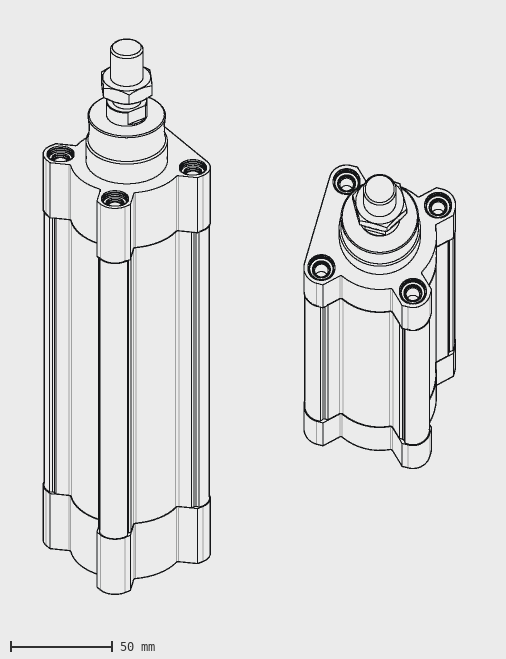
import cadquery as cq
import math

SPIGOT_HEIGHT = 4.0
CAP_HEIGHT = 33.0
TUBE_LENGTH = 165.0
COLLAR_HEIGHT = 12.7
NECK_TOP_Z = 262.5
TOTAL_HEIGHT = 302.8
REAR_CAP_TOP_Z = SPIGOT_HEIGHT + CAP_HEIGHT
FRONT_CAP_BASE_Z = REAR_CAP_TOP_Z + TUBE_LENGTH
FRONT_CAP_TOP_Z = FRONT_CAP_BASE_Z + CAP_HEIGHT
COLLAR_TOP_Z = FRONT_CAP_TOP_Z + COLLAR_HEIGHT

CAP_WIDTH = 64.0
BOSS_CENTRE = 23.3
CAP_CORE_RADIUS = 28.0
CAP_FLANK_OFFSET = 11.8
CAP_JUNCTION_FILLET = 1.0
CAP_CORNER_RADIUS = CAP_WIDTH / 2 - BOSS_CENTRE

TUBE_CORE_RADIUS = 27.5
TUBE_FLANK_OFFSET = 11.5
TUBE_JUNCTION_FILLET = 1.5
TUBE_WIDTH = 63.0
TUBE_RIB_RADIUS = TUBE_WIDTH / 2 - BOSS_CENTRE
RIB_EDGE = 21.5
STEP_FOOT = (30.0, 20.5)
STEP_FLAT_OUT = 29.7
STEP_FLAT_EDGE = 19.7

COLLAR_DIAMETER = 40.0
COLLAR_CHAMFER = 1.0
SPIGOT_CHAMFER = 0.5
NECK_END_RADIUS = 19.0
NECK_WAIST_RADIUS = 18.5
NECK_CHAMFER = 0.5

SCREW_HOLE_STEPS = [(13.3, 1.0), (12.0, 1.8), (11.5, 2.7), (8.8, 3.5), (8.0, 4.5), (6.7, 15.0)]
DRILL_POINT_HEIGHT = 1.8

ROD_DIAMETER = 20.0
ROD_SHOULDER_Z = 270.7
ROD_SHOULDER_CHAMFER = 0.3
FLATS_WIDTH = 17.0
FLATS_BASE_Z = 263.5
UNDERCUT_DIAMETER = 14.0
UNDERCUT_TOP_Z = 273.5
THREAD_DIAMETER = 16.0
THREAD_BASE_Z = 276.0
THREAD_TIP_DIAMETER = 14.2
THREAD_TIP_HEIGHT = 1.2

NUT_WIDTH = 24.0
NUT_HEIGHT = 8.0
NUT_BASE_Z = 277.0
NUT_CHAMFER_DIAMETER = 23.5
NUT_CHAMFER_SLOPE = math.tan(math.radians(30))


def cylinder(diameter, base_z, top_z):
    return cq.Workplane("XY").workplane(offset=base_z).circle(diameter / 2).extrude(top_z - base_z)


def block(width, depth, base_z, height):
    return cq.Workplane("XY").workplane(offset=base_z).rect(width, depth).extrude(height)


def turned(point, quarter_turns):
    """The point after a number of quarter turns about the main axis."""
    x, y = point
    for _ in range(quarter_turns):
        x, y = -y, x
    return x, y


def cornered_prism(core_radius, flank_offset, junction_fillet, side_points, corner_radius, base_z, height):
    """Round prism with four equal corners, each symmetric about its diagonal.

    The side points lead from the end of the flank to the start of the round corner.
    """
    junction_y = (math.sqrt(2 * core_radius**2 - flank_offset**2) - flank_offset) / 2
    junction = (junction_y + flank_offset, junction_y)
    first_side = [junction, *side_points]
    second_side = [(y, x) for x, y in reversed(first_side)]
    corner_tip = BOSS_CENTRE + corner_radius / math.sqrt(2)

    outline = cq.Workplane("XY").workplane(offset=base_z).moveTo(*junction)
    for turn in range(4):
        for point in first_side[1:]:
            outline = outline.lineTo(*turned(point, turn))
        outline = outline.threePointArc(turned((corner_tip, corner_tip), turn), turned(second_side[0], turn))
        for point in second_side[1:]:
            outline = outline.lineTo(*turned(point, turn))
        outline = outline.threePointArc(turned((0, core_radius), turn), turned(junction, turn + 1))
    prism = outline.close().extrude(height)

    def is_junction(edge):
        centre = edge.Center()
        return math.isclose(math.hypot(centre.x, centre.y), core_radius, rel_tol=1e-4)

    return prism.edges("|Z").filter(is_junction).fillet(junction_fillet)


def make_cap(base_z):
    """Round core with four corner bosses, filled out to a flat on the +Y side."""
    half_width = CAP_WIDTH / 2
    flank_end = half_width - CAP_FLANK_OFFSET
    side_points = [(half_width, flank_end), (half_width, BOSS_CENTRE)]
    cap = cornered_prism(
        CAP_CORE_RADIUS,
        CAP_FLANK_OFFSET,
        CAP_JUNCTION_FILLET,
        side_points,
        CAP_CORNER_RADIUS,
        base_z,
        CAP_HEIGHT,
    )
    filled_side = block(2 * flank_end, half_width, base_z, CAP_HEIGHT)
    return cap.union(filled_side.translate((0, half_width / 2, 0)))


def make_tube():
    """Round tube with four corner ribs, each with a step and a flank on both sides."""
    rib_start = BOSS_CENTRE + math.sqrt(TUBE_RIB_RADIUS**2 - (BOSS_CENTRE - RIB_EDGE) ** 2)
    side_points = [
        (STEP_FLAT_OUT, STEP_FLAT_OUT - TUBE_FLANK_OFFSET),
        (STEP_FLAT_OUT, STEP_FLAT_EDGE),
        STEP_FOOT,
        (rib_start, RIB_EDGE),
    ]
    return cornered_prism(
        TUBE_CORE_RADIUS,
        TUBE_FLANK_OFFSET,
        TUBE_JUNCTION_FILLET,
        side_points,
        TUBE_RIB_RADIUS,
        REAR_CAP_TOP_Z,
        TUBE_LENGTH,
    )


def make_collar():
    """Chamfered collar with a slightly waisted neck on top."""
    collar = cylinder(COLLAR_DIAMETER, FRONT_CAP_TOP_Z, COLLAR_TOP_Z).faces(">Z").chamfer(COLLAR_CHAMFER)
    neck = (
        cq.Workplane("XZ")
        .moveTo(0, COLLAR_TOP_Z)
        .lineTo(NECK_END_RADIUS, COLLAR_TOP_Z)
        .threePointArc(
            (NECK_WAIST_RADIUS, (COLLAR_TOP_Z + NECK_TOP_Z - NECK_CHAMFER) / 2),
            (NECK_END_RADIUS, NECK_TOP_Z - NECK_CHAMFER),
        )
        .lineTo(NECK_END_RADIUS - NECK_CHAMFER, NECK_TOP_Z)
        .lineTo(0, NECK_TOP_Z)
        .close()
        .revolve(360, (0, 0, 0), (0, 1, 0))
    )
    return collar.union(neck)


def make_spigot():
    return cylinder(COLLAR_DIAMETER, 0, SPIGOT_HEIGHT).faces("<Z").chamfer(SPIGOT_CHAMFER)


def make_screw_hole():
    """Stepped hole with a drill point, as a solid to cut, with its mouth at the origin."""
    profile = cq.Workplane("XZ").moveTo(0, 0)
    floor_z = 0
    for diameter, depth in SCREW_HOLE_STEPS:
        profile = profile.lineTo(diameter / 2, floor_z).lineTo(diameter / 2, -depth)
        floor_z = -depth
    profile = profile.lineTo(0, floor_z - DRILL_POINT_HEIGHT)
    return profile.close().revolve(360, (0, 0, 0), (0, 1, 0))


def make_housing():
    """Tube with its end caps, collar and spigot, bored for the rod and the screws."""
    housing = make_tube()
    for part in (make_cap(SPIGOT_HEIGHT), make_cap(FRONT_CAP_BASE_Z), make_collar(), make_spigot()):
        housing = housing.union(part)
    housing = housing.cut(cylinder(ROD_DIAMETER, FRONT_CAP_BASE_Z, NECK_TOP_Z))
    screw_hole = make_screw_hole()
    for x in (-BOSS_CENTRE, BOSS_CENTRE):
        for y in (-BOSS_CENTRE, BOSS_CENTRE):
            housing = housing.cut(screw_hole.translate((x, y, FRONT_CAP_TOP_Z)))
    return housing


def make_rod():
    """Rod with wrench flats, an undercut and a chamfered threaded end."""
    rod_radius = ROD_DIAMETER / 2
    outline = [
        (0, FRONT_CAP_BASE_Z),
        (rod_radius, FRONT_CAP_BASE_Z),
        (rod_radius, ROD_SHOULDER_Z - ROD_SHOULDER_CHAMFER),
        (rod_radius - ROD_SHOULDER_CHAMFER, ROD_SHOULDER_Z),
        (UNDERCUT_DIAMETER / 2, ROD_SHOULDER_Z),
        (UNDERCUT_DIAMETER / 2, UNDERCUT_TOP_Z),
        (THREAD_DIAMETER / 2, THREAD_BASE_Z),
        (THREAD_DIAMETER / 2, TOTAL_HEIGHT - THREAD_TIP_HEIGHT),
        (THREAD_TIP_DIAMETER / 2, TOTAL_HEIGHT),
        (0, TOTAL_HEIGHT),
    ]
    rod = cq.Workplane("XZ").polyline(outline).close().revolve(360, (0, 0, 0), (0, 1, 0))
    flats_height = ROD_SHOULDER_Z - FLATS_BASE_Z
    around_flats = block(2 * ROD_DIAMETER, 2 * ROD_DIAMETER, FLATS_BASE_Z, flats_height)
    between_flats = block(FLATS_WIDTH, 2 * ROD_DIAMETER, FLATS_BASE_Z, flats_height)
    return rod.cut(around_flats.cut(between_flats))


def make_nut():
    """Hexagon nut with flats facing +X and -X and its corners chamfered at both ends."""
    corner_radius = NUT_WIDTH / math.sqrt(3)
    chamfer_radius = NUT_CHAMFER_DIAMETER / 2
    chamfer_height = (corner_radius - chamfer_radius) * NUT_CHAMFER_SLOPE
    outline = [
        (0, 0),
        (chamfer_radius, 0),
        (corner_radius, chamfer_height),
        (corner_radius, NUT_HEIGHT - chamfer_height),
        (chamfer_radius, NUT_HEIGHT),
        (0, NUT_HEIGHT),
    ]
    envelope = cq.Workplane("XZ").polyline(outline).close().revolve(360, (0, 0, 0), (0, 1, 0))
    hexagon = cq.Workplane("XY").polygon(6, 2 * corner_radius).extrude(NUT_HEIGHT)
    nut = hexagon.rotate((0, 0, 0), (0, 0, 1), 30).intersect(envelope)
    return nut.cut(cylinder(THREAD_DIAMETER, 0, NUT_HEIGHT)).translate((0, 0, NUT_BASE_Z))


housing = make_housing()
rod = make_rod()
nut = make_nut()

result = cq.Compound.makeCompound([housing.val(), rod.val(), nut.val()])